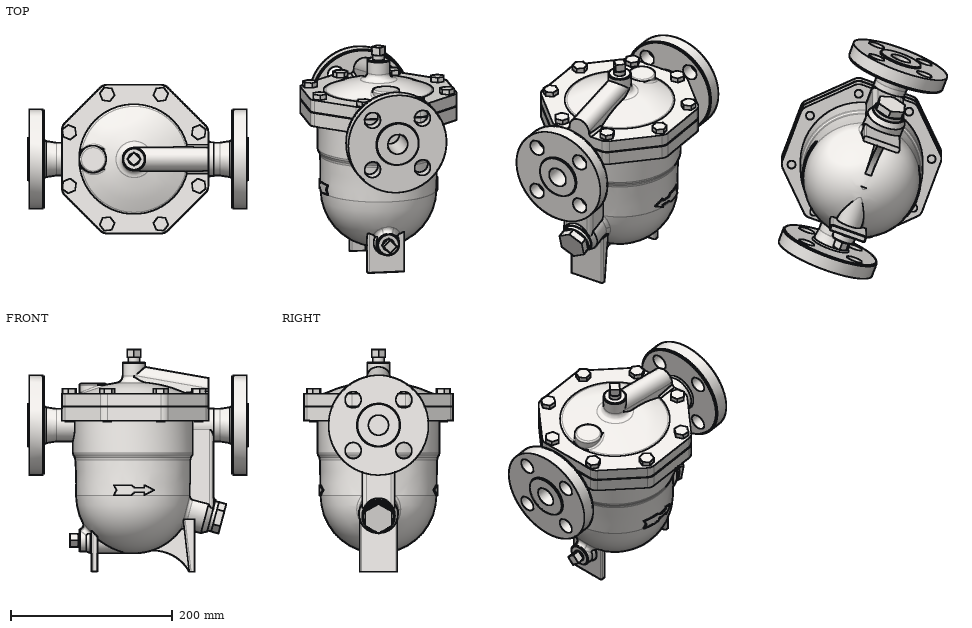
import cadquery as cq
import math


INLET_FACE_X = -132.0
OUTLET_FACE_X = 142.0
FLANGE_DIA = 124.0
FLANGE_THICKNESS = 16.8
FLANGE_STEP_DIA = FLANGE_DIA - 3.0
FLANGE_STEP_LENGTH = 1.8
RAISED_FACE_DIA = 54.0
RAISED_FACE_HEIGHT = 1.8
FLANGE_BACK = RAISED_FACE_HEIGHT + FLANGE_THICKNESS + FLANGE_STEP_LENGTH
FLANGE_BOLTS = 4
BOLT_HOLE_DIA = 20.0
BOLT_HOLE_CIRCLE_DIA = 89.0
BORE_DIA = 25.0
PIPE_DIA = 41.0
OUTLET_STUB_DIA = 42.0
OUTLET_STUB_END_X = 98.8
NECK_DIA = 45.0
NECK_ROOT_DIA = NECK_DIA + 3.0
NECK_ROOT_LENGTH = 2.5
NECK_LENGTH = 12.5

UPPER_RADIUS = 76.0
LOWER_RADIUS = 73.0
BOWL_RADIUS = 72.2
UPPER_BOTTOM_Z = -34.2
LIP_RADIUS = UPPER_RADIUS - 0.5
LIP_Z = -36.6
GROOVE_RADIUS = LOWER_RADIUS + 0.6
GROOVE_Z = -40.1
LOWER_TOP_Z = -42.8
BOWL_CENTRE_Z = -87.0

COVER_TOP_Z = 39.0
JOINT_Z = 23.1
JOINT_BOTTOM_Z = 5.5
GASKET_THICKNESS = 0.8
GASKET_INSET = 0.4
OCTAGON_SIDES = 8
OCTAGON_FLATS = 185.0
OCTAGON_CORNER_RADIUS = 12.0
OCTAGON_INLET_X = -89.5
JOINT_BOLTS = OCTAGON_SIDES
JOINT_BOLT_CIRCLE_DIA = 174.0
BOLT_HEAD_FLATS = 16.0
BOLT_HEAD_HEIGHT = 6.2
BOLT_END_DIA = 10.0
BOLT_END_LENGTH = 1.0

DOME_RIM_RADIUS = 68.2
DOME_EDGE_RADIUS = 65.8
DOME_EDGE_HEIGHT = 0.8
DOME_TOP_RADIUS = 22.6
DOME_TOP_Z = 52.6
DOME_EDGE_Z = COVER_TOP_Z + DOME_EDGE_HEIGHT
DOME_CENTRE_Z = (
    (DOME_TOP_RADIUS**2 + DOME_TOP_Z**2 - DOME_EDGE_RADIUS**2 - DOME_EDGE_Z**2)
    / (2 * (DOME_TOP_Z - DOME_EDGE_Z))
)
DOME_RADIUS = math.hypot(DOME_EDGE_RADIUS, DOME_EDGE_Z - DOME_CENTRE_Z)
BOSS_DIA = 28.5
BOSS_TOP_Z = 78.0
BOSS_CHAMFER = 1.2
BOSS_FLARE_RADIUS = 9.0
PAD_X = -51.0
PAD_DIA = 33.5
PAD_TOP_Z = 51.7
PAD_EDGE_RADIUS = 2.2
PAD_ROOT_RADIUS = 2.5
BYPASS_TILT = 10.0
BYPASS_DIA = 28.5
BYPASS_END_AXIS_Z = 44.1
BYPASS_WALL_DRAFT = 6.5
BYPASS_FOOT_WIDTH = 36.0
BYPASS_FOOT_HEIGHT = 6.2

SQUARE_DIAGONAL = 17.0
SQUARE_HEIGHT = 10.0
PLUG_NECK_DIA = 14.5
TOP_PLUG_HEIGHT = 16.0

DRAIN_Z = -143.0
DRAIN_FACE_X = -68.0
DRAIN_DIA = 28.0
DRAIN_CHAMFER = 1.2
DRAIN_STEP_X = -59.0
DRAIN_TUBE_X = -54.0
DRAIN_TUBE_DIA = 32.0
DRAIN_TUBE_END_X = 8.0
DRAIN_PLUG_END_X = -79.4
DRAIN_ROOT_RADIUS = 5.5

BLOCK_HALF_WIDTH = 20.4
BLOCK_END_X = 98.9
BLOCK_BOTTOM_Z = -105.0
BLOCK_CORNER_RADIUS = 5.3
PORT_TILT = 15.0
PORT_END_X = 109.8
PORT_END_Z = -116.2
PORT_HEX_FLATS = 33.0
PORT_HEX_HEIGHT = 9.5
PORT_COLLAR_DIA = 38.0
PORT_COLLAR_LENGTH = 4.8
PORT_CONE_DIA = 41.0
PORT_CONE_LENGTH = 7.0
PORT_BOSS_DIA = 48.5
PORT_ROOT_RADIUS = 5.0
PORT_BOSS_LENGTH = 50.0

FOOT_BOTTOM_Z = -182.0
FOOT_HALF_WIDTH = 23.3
FOOT_EDGE_RADIUS = 2.0
INLET_FOOT_X = -53.0
INLET_FOOT_THICKNESS = 8.0
INLET_FOOT_TOP_Z = -130.0
OUTLET_FOOT_X = 75.6
OUTLET_FOOT_TOE = 7.0
OUTLET_FOOT_TOP = 14.5
OUTLET_FOOT_TOP_Z = -117.0
RIB_THICKNESS = 8.0
RIB_START_X = 24.0
RIB_START_Z = -155.8

ARROW_LENGTH = 50.0
ARROW_CENTRE_Z = -80.5
ARROW_HALF_HEIGHT = 6.2
ARROW_SHAFT_HALF_HEIGHT = 3.0
ARROW_HEAD_LENGTH = 12.0
ARROW_TAIL_LENGTH = 22.0
ARROW_NOTCH = 3.5
ARROW_RADIUS = LOWER_RADIUS + 0.7
ARROW_ROOT_RADIUS = LOWER_RADIUS - 3.0


def cylinder_x(diameter, start_x, end_x, z=0.0):
    plane = cq.Workplane("YZ", origin=(start_x, 0, z))
    return plane.circle(diameter / 2).extrude(end_x - start_x)


def hex_corners(flats):
    """Circle diameter through the corners of a hexagon."""
    return flats / math.cos(math.pi / 6)


def fillet_where_joined(base, boss, radius):
    """Unite two shapes and round the free-form edges along which they meet."""
    joined = base.union(boss)
    seams = [edge for edge in joined.edges().vals() if edge.geomType() == "BSPLINE"]
    return joined.newObject(seams).fillet(radius)


def make_bowl():
    """Full sphere of the body's rounded bottom."""
    return cq.Workplane("XY").sphere(BOWL_RADIUS).translate((0, 0, BOWL_CENTRE_Z))


def make_shell():
    outline = (
        cq.Workplane("XZ")
        .moveTo(0, JOINT_BOTTOM_Z)
        .lineTo(UPPER_RADIUS, JOINT_BOTTOM_Z)
        .lineTo(UPPER_RADIUS, UPPER_BOTTOM_Z)
        .lineTo(LIP_RADIUS, LIP_Z)
        .lineTo(GROOVE_RADIUS, GROOVE_Z)
        .lineTo(LOWER_RADIUS, LOWER_TOP_Z)
        .lineTo(BOWL_RADIUS, BOWL_CENTRE_Z)
        .threePointArc(
            (BOWL_RADIUS * math.sqrt(0.5), BOWL_CENTRE_Z - BOWL_RADIUS * math.sqrt(0.5)),
            (0, BOWL_CENTRE_Z - BOWL_RADIUS),
        )
        .close()
    )
    return outline.revolve(360, (0, 0, 0), (0, 1, 0))


def octagon(bottom_z, top_z, inset=0.0):
    flats = OCTAGON_FLATS - 2 * inset
    inlet_x = OCTAGON_INLET_X + inset
    height = top_z - bottom_z
    plate = (
        cq.Workplane("XY", origin=(0, 0, bottom_z))
        .transformed(rotate=(0, 0, 180 / OCTAGON_SIDES))
        .polygon(OCTAGON_SIDES, flats / math.cos(math.pi / OCTAGON_SIDES))
        .extrude(height)
    )
    keep = cq.Workplane("XY").box(flats, flats, height, centered=(False, True, False))
    plate = plate.intersect(keep.translate((inlet_x, 0, bottom_z)))
    return plate.edges("|Z").fillet(OCTAGON_CORNER_RADIUS)


def make_joint():
    half_gap = GASKET_THICKNESS / 2
    joint = octagon(JOINT_BOTTOM_Z, JOINT_Z - half_gap)
    joint = joint.union(octagon(JOINT_Z - half_gap, JOINT_Z + half_gap, GASKET_INSET))
    joint = joint.union(octagon(JOINT_Z + half_gap, COVER_TOP_Z))
    for i in range(JOINT_BOLTS):
        angle = 360 / JOINT_BOLTS * (i + 0.5)
        head = cq.Workplane("XY", origin=(JOINT_BOLT_CIRCLE_DIA / 2, 0, COVER_TOP_Z))
        head = head.polygon(6, hex_corners(BOLT_HEAD_FLATS)).extrude(BOLT_HEAD_HEIGHT)
        end = cq.Workplane("XY", origin=(JOINT_BOLT_CIRCLE_DIA / 2, 0, JOINT_BOTTOM_Z))
        end = end.circle(BOLT_END_DIA / 2).extrude(-BOLT_END_LENGTH)
        for piece in (head, end):
            joint = joint.union(piece.rotate((0, 0, 0), (0, 0, 1), angle))
    return joint


def make_dome():
    boss_radius = BOSS_DIA / 2
    mid_radius = (DOME_EDGE_RADIUS + DOME_TOP_RADIUS) / 2
    mid_z = DOME_CENTRE_Z + math.sqrt(DOME_RADIUS**2 - mid_radius**2)
    flare_top_z = DOME_TOP_Z + BOSS_FLARE_RADIUS
    flare_mid_radius = DOME_TOP_RADIUS - (DOME_TOP_RADIUS - boss_radius) * math.sqrt(0.5)
    flare_mid_z = flare_top_z - BOSS_FLARE_RADIUS * math.sqrt(0.5)
    outline = (
        cq.Workplane("XZ")
        .moveTo(0, JOINT_Z)
        .lineTo(DOME_RIM_RADIUS, JOINT_Z)
        .lineTo(DOME_RIM_RADIUS, COVER_TOP_Z)
        .lineTo(DOME_EDGE_RADIUS, DOME_EDGE_Z)
        .threePointArc((mid_radius, mid_z), (DOME_TOP_RADIUS, DOME_TOP_Z))
        .threePointArc((flare_mid_radius, flare_mid_z), (boss_radius, flare_top_z))
        .lineTo(boss_radius, BOSS_TOP_Z - BOSS_CHAMFER)
        .lineTo(boss_radius - BOSS_CHAMFER, BOSS_TOP_Z)
        .lineTo(0, BOSS_TOP_Z)
        .close()
    )
    return outline.revolve(360, (0, 0, 0), (0, 1, 0))


def make_pad():
    """Round pad blended into the sphere of the dome; the sphere itself ends inside the cover."""
    sphere = cq.Workplane("XY").sphere(DOME_RADIUS).translate((0, 0, DOME_CENTRE_Z))
    column = cq.Workplane("XY", origin=(PAD_X, 0, JOINT_Z)).circle(PAD_DIA / 2)
    column = column.extrude(BOSS_TOP_Z - JOINT_Z)
    blended = fillet_where_joined(sphere, column, PAD_ROOT_RADIUS)
    limit = cq.Workplane("XY", origin=(0, 0, JOINT_Z)).circle(DOME_RIM_RADIUS + PAD_ROOT_RADIUS)
    limit = limit.extrude(PAD_TOP_Z - PAD_EDGE_RADIUS - JOINT_Z)
    top = cq.Workplane("XY", origin=(PAD_X, 0, JOINT_Z)).circle(PAD_DIA / 2)
    top = top.extrude(PAD_TOP_Z - JOINT_Z).faces(">Z").edges().fillet(PAD_EDGE_RADIUS)
    return blended.intersect(limit.union(top))


def make_bypass():
    """Sloping pipe on the cover: round on top, drafted sides, and a hollow-sided foot at its end."""
    end_x = OCTAGON_FLATS / 2
    radius = BYPASS_DIA / 2
    tilt = math.radians(BYPASS_TILT)
    draft = math.radians(BYPASS_WALL_DRAFT)
    root_z = BYPASS_END_AXIS_Z + end_x * math.tan(tilt)
    plane = cq.Plane(
        origin=(0, 0, root_z), xDir=(0, 1, 0), normal=(math.cos(tilt), 0, -math.sin(tilt))
    )
    depth = root_z - JOINT_Z
    shoulder_half_width = radius * math.cos(draft)
    shoulder_rise = radius * math.sin(draft)
    base_half_width = shoulder_half_width + (depth + shoulder_rise) * math.tan(draft)
    pipe = (
        cq.Workplane(plane)
        .moveTo(-base_half_width, -depth)
        .lineTo(-shoulder_half_width, shoulder_rise)
        .threePointArc((0, radius), (shoulder_half_width, shoulder_rise))
        .lineTo(base_half_width, -depth)
        .close()
        .extrude(end_x + BYPASS_DIA)
    )
    outer = cq.Workplane("XY").box(
        end_x, 2 * base_half_width, BOSS_TOP_Z - JOINT_Z, centered=(False, True, False)
    )
    pipe = pipe.intersect(outer.translate((0, 0, JOINT_Z)))
    foot_half_width = BYPASS_FOOT_WIDTH / 2
    foot_top_z = COVER_TOP_Z + BYPASS_FOOT_HEIGHT
    hollow_y = radius + (foot_half_width - radius) * (1 - math.sqrt(0.5))
    hollow_z = COVER_TOP_Z + BYPASS_FOOT_HEIGHT * (1 - math.sqrt(0.5))
    foot = (
        cq.Workplane("YZ", origin=(DOME_EDGE_RADIUS, 0, 0))
        .moveTo(-foot_half_width, COVER_TOP_Z)
        .threePointArc((-hollow_y, hollow_z), (-radius, foot_top_z))
        .lineTo(radius, foot_top_z)
        .threePointArc((hollow_y, hollow_z), (foot_half_width, COVER_TOP_Z))
        .close()
        .extrude(end_x - DOME_EDGE_RADIUS)
    )
    return pipe.union(foot)


def make_top_plug():
    plug_top_z = BOSS_TOP_Z + TOP_PLUG_HEIGHT
    neck = cq.Workplane("XY", origin=(0, 0, BOSS_TOP_Z)).circle(PLUG_NECK_DIA / 2)
    neck = neck.extrude(plug_top_z - BOSS_TOP_Z - SQUARE_HEIGHT)
    head = cq.Workplane("XY", origin=(0, 0, plug_top_z)).polygon(4, SQUARE_DIAGONAL).extrude(-SQUARE_HEIGHT)
    return neck.union(head)


def make_pipe_end(face_x):
    """Pipe, neck and flange, built along +X and turned to the inlet when face_x is negative."""
    reach = abs(face_x)
    back_x = reach - FLANGE_BACK
    root_x = back_x - NECK_ROOT_LENGTH
    flange_x = back_x + FLANGE_STEP_LENGTH
    outline = (
        cq.Workplane("XY")
        .moveTo(0, 0)
        .lineTo(0, PIPE_DIA / 2)
        .lineTo(root_x - NECK_LENGTH, PIPE_DIA / 2)
        .lineTo(root_x, NECK_DIA / 2)
        .lineTo(back_x, NECK_ROOT_DIA / 2)
        .lineTo(back_x, FLANGE_STEP_DIA / 2)
        .lineTo(flange_x, FLANGE_STEP_DIA / 2)
        .lineTo(flange_x, FLANGE_DIA / 2)
        .lineTo(reach - RAISED_FACE_HEIGHT, FLANGE_DIA / 2)
        .lineTo(reach - RAISED_FACE_HEIGHT, RAISED_FACE_DIA / 2)
        .lineTo(reach, RAISED_FACE_DIA / 2 - RAISED_FACE_HEIGHT / 2)
        .lineTo(reach, 0)
        .close()
    )
    pipe_end = outline.revolve(360, (0, 0, 0), (1, 0, 0))
    holes = (
        cq.Workplane("YZ", origin=(back_x, 0, 0))
        .polarArray(BOLT_HOLE_CIRCLE_DIA / 2, 180 / FLANGE_BOLTS, 360, FLANGE_BOLTS)
        .circle(BOLT_HOLE_DIA / 2)
        .extrude(FLANGE_BACK)
    )
    pipe_end = pipe_end.cut(holes)
    if face_x < 0:
        pipe_end = pipe_end.mirror("YZ")
    return pipe_end


def make_bore(face_x):
    """Blind bore from a flange face to the body wall."""
    wall_x = math.copysign(UPPER_RADIUS, face_x)
    return cylinder_x(BORE_DIA, wall_x, face_x)


def make_drain():
    boss = cylinder_x(DRAIN_DIA, DRAIN_FACE_X, 0, DRAIN_Z)
    boss = boss.faces("<X").edges().chamfer(DRAIN_CHAMFER)
    drain = fillet_where_joined(make_bowl(), boss, DRAIN_ROOT_RADIUS)
    step = (
        cq.Workplane("YZ", origin=(DRAIN_STEP_X, 0, DRAIN_Z))
        .circle(DRAIN_DIA / 2)
        .workplane(offset=DRAIN_TUBE_X - DRAIN_STEP_X)
        .circle(DRAIN_TUBE_DIA / 2)
        .loft()
    )
    tube = cylinder_x(DRAIN_TUBE_DIA, DRAIN_TUBE_X, DRAIN_TUBE_END_X, DRAIN_Z)
    return drain.union(step).union(tube)


def make_drain_plug():
    square_end_x = DRAIN_PLUG_END_X + SQUARE_HEIGHT
    neck = cylinder_x(PLUG_NECK_DIA, square_end_x, DRAIN_FACE_X, DRAIN_Z)
    head = cq.Workplane("YZ", origin=(DRAIN_PLUG_END_X, 0, DRAIN_Z))
    head = head.polygon(4, SQUARE_DIAGONAL).extrude(SQUARE_HEIGHT)
    return neck.union(head)


def make_outlet_block():
    """Upright passage block from the strainer port up to the middle of the outlet pipe."""
    block = cq.Workplane("XY").box(
        BLOCK_END_X, 2 * BLOCK_HALF_WIDTH, -BLOCK_BOTTOM_Z, centered=(False, True, False)
    )
    block = block.translate((0, 0, BLOCK_BOTTOM_Z))
    return block.edges("|Z and >X").fillet(BLOCK_CORNER_RADIUS)


def make_port():
    """Tilted strainer port with a hexagonal plug, built inwards from the plug's end face."""
    tilt = math.radians(PORT_TILT)
    inward = (-math.cos(tilt), 0, math.sin(tilt))
    plane = cq.Plane(origin=(PORT_END_X, 0, PORT_END_Z), xDir=(0, 1, 0), normal=inward)
    port = cq.Workplane(plane).transformed(rotate=(0, 0, 30))
    port = port.polygon(6, hex_corners(PORT_HEX_FLATS)).extrude(PORT_HEX_HEIGHT)
    collar = cq.Workplane(plane).workplane(offset=PORT_HEX_HEIGHT)
    collar = collar.circle(PORT_COLLAR_DIA / 2).extrude(PORT_COLLAR_LENGTH)
    cone = (
        cq.Workplane(plane)
        .workplane(offset=PORT_HEX_HEIGHT + PORT_COLLAR_LENGTH)
        .circle(PORT_CONE_DIA / 2)
        .workplane(offset=PORT_CONE_LENGTH)
        .circle(PORT_BOSS_DIA / 2)
        .loft()
    )
    boss_offset = PORT_HEX_HEIGHT + PORT_COLLAR_LENGTH + PORT_CONE_LENGTH
    boss = cq.Workplane(plane).workplane(offset=boss_offset)
    boss = boss.circle(PORT_BOSS_DIA / 2).extrude(PORT_BOSS_LENGTH)
    blended_boss = fillet_where_joined(make_bowl(), boss, PORT_ROOT_RADIUS)
    return port.union(collar).union(cone).union(blended_boss)


def make_inlet_foot():
    height = INLET_FOOT_TOP_Z - FOOT_BOTTOM_Z
    foot = cq.Workplane("XY").box(
        INLET_FOOT_THICKNESS, 2 * FOOT_HALF_WIDTH, height, centered=(False, True, False)
    )
    foot = foot.translate((INLET_FOOT_X, 0, FOOT_BOTTOM_Z))
    return foot.edges("|Z").fillet(FOOT_EDGE_RADIUS).faces("<Z").edges().chamfer(FOOT_EDGE_RADIUS / 2)


def make_outlet_foot():
    profile = [
        (OUTLET_FOOT_X - OUTLET_FOOT_TOE, FOOT_BOTTOM_Z),
        (OUTLET_FOOT_X, FOOT_BOTTOM_Z),
        (OUTLET_FOOT_X, OUTLET_FOOT_TOP_Z),
        (OUTLET_FOOT_X - OUTLET_FOOT_TOP, OUTLET_FOOT_TOP_Z),
    ]
    foot = cq.Workplane("XZ", origin=(0, FOOT_HALF_WIDTH, 0)).polyline(profile).close()
    foot = foot.extrude(2 * FOOT_HALF_WIDTH)
    return foot.faces(">Y or <Y").edges(">X or <X").fillet(FOOT_EDGE_RADIUS)


def make_rib():
    """Web from the bowl to the outlet foot with a concave lower edge."""
    toe_x = OUTLET_FOOT_X - OUTLET_FOOT_TOE
    run = toe_x - RIB_START_X
    drop = RIB_START_Z - FOOT_BOTTOM_Z
    arc_radius = (run**2 + drop**2) / (2 * drop)
    half_angle = math.asin(run / arc_radius) / 2
    mid = (
        RIB_START_X + arc_radius * math.sin(half_angle),
        RIB_START_Z - arc_radius * (1 - math.cos(half_angle)),
    )
    rib = (
        cq.Workplane("XZ", origin=(0, RIB_THICKNESS / 2, 0))
        .moveTo(RIB_START_X, RIB_START_Z)
        .threePointArc(mid, (toe_x, FOOT_BOTTOM_Z))
        .lineTo(toe_x, OUTLET_FOOT_TOP_Z)
        .lineTo(RIB_START_X, OUTLET_FOOT_TOP_Z)
        .close()
    )
    return rib.extrude(RIB_THICKNESS)


def make_arrows():
    """Raised flow arrows towards +X on both sides of the body."""
    tip_x = ARROW_LENGTH / 2
    head_x = tip_x - ARROW_HEAD_LENGTH
    tail_x = -tip_x + ARROW_TAIL_LENGTH
    upper = [
        (-tip_x, ARROW_HALF_HEIGHT),
        (tail_x, ARROW_HALF_HEIGHT),
        (tail_x + ARROW_NOTCH, ARROW_SHAFT_HALF_HEIGHT),
        (head_x, ARROW_SHAFT_HALF_HEIGHT),
        (head_x, ARROW_HALF_HEIGHT),
    ]
    lower = [(x, -z) for x, z in reversed(upper)]
    outline = upper + [(tip_x, 0)] + lower + [(-tip_x + ARROW_NOTCH, 0)]
    skin_height = 2 * ARROW_HALF_HEIGHT
    arrow = cq.Workplane("XZ", origin=(0, 0, ARROW_CENTRE_Z)).polyline(outline).close()
    arrow = arrow.extrude(UPPER_RADIUS, both=True)
    skin = cq.Workplane("XY", origin=(0, 0, ARROW_CENTRE_Z - ARROW_HALF_HEIGHT))
    skin = skin.circle(ARROW_RADIUS).circle(ARROW_ROOT_RADIUS).extrude(skin_height)
    return arrow.intersect(skin)


result = make_shell()
result = result.union(make_drain())
result = result.union(make_joint()).union(make_dome()).union(make_pad())
result = result.union(make_bypass()).union(make_top_plug())
result = result.union(make_outlet_block()).union(make_port())
result = result.union(cylinder_x(OUTLET_STUB_DIA, 0, OUTLET_STUB_END_X))
result = result.union(make_drain_plug())
result = result.union(make_inlet_foot()).union(make_outlet_foot()).union(make_rib())
for flange_face_x in (INLET_FACE_X, OUTLET_FACE_X):
    result = result.union(make_pipe_end(flange_face_x))
    result = result.cut(make_bore(flange_face_x))
result = result.union(make_arrows())